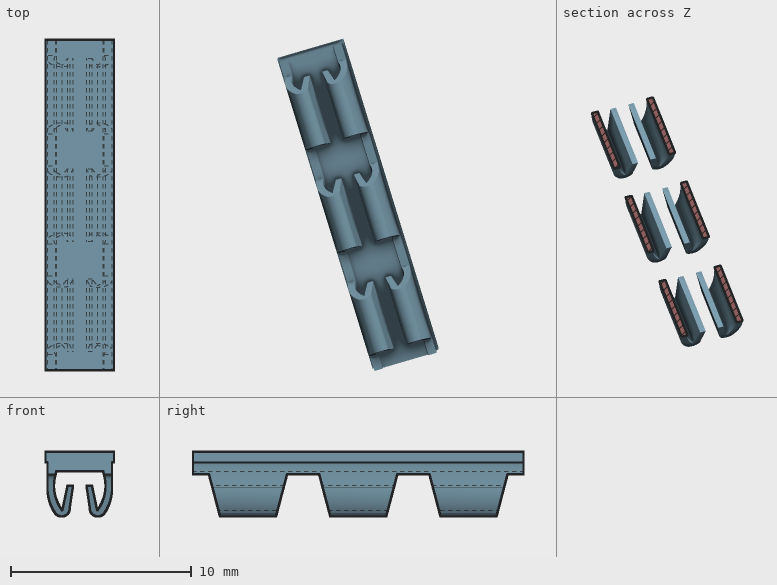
import cadquery as cq

length = 18.3
width = 3.8
height = 3.6
lip_depth = 0.6
body_width = 3.58
body_depth = 1.27

channel_depth = 1.1
channel_roof_width = 2.58
channel_mouth_width = 2.66

leg_outer_root = (body_width / 2, -body_depth)
leg_straight_end = (body_width / 2, -2.0)
leg_outer_mid = (1.69, -2.75)
leg_outer_end = (1.36, -3.42)
leg_bottom = (0.99, -height)
hook_outer_start = (0.55, -3.13)
hook_outer_tip = (0.36, -1.88)
hook_inner_tip = (0.68, -1.88)
leg_inner_bottom = (0.97, -3.25)
leg_inner_mid = (1.41, -2.1)
leg_inner_root = (channel_mouth_width / 2, -body_depth)

clip_count = 3
clip_pitch = length / clip_count
clip_root_length = 4.33
clip_end_length = 3.1


def strip():
    """Lip, body and underside channel as one section, extruded along Y."""
    half_width = width / 2
    half_body = body_width / 2
    half_mouth = channel_mouth_width / 2
    half_roof = channel_roof_width / 2
    return (
        cq.Workplane("XZ")
        .moveTo(-half_width, 0)
        .lineTo(half_width, 0)
        .lineTo(half_width, -lip_depth)
        .lineTo(half_body, -lip_depth)
        .lineTo(half_body, -body_depth)
        .lineTo(half_mouth, -body_depth)
        .lineTo(half_roof, -channel_depth)
        .lineTo(-half_roof, -channel_depth)
        .lineTo(-half_mouth, -body_depth)
        .lineTo(-half_body, -body_depth)
        .lineTo(-half_body, -lip_depth)
        .lineTo(-half_width, -lip_depth)
        .close()
        .extrude(length / 2, both=True)
    )


def leg():
    """Hooked leg on the +X side, running the full length of the strip."""
    return (
        cq.Workplane("XZ")
        .moveTo(*leg_inner_root)
        .lineTo(*leg_outer_root)
        .lineTo(*leg_straight_end)
        .threePointArc(leg_outer_mid, leg_outer_end)
        .threePointArc(leg_bottom, hook_outer_start)
        .lineTo(*hook_outer_tip)
        .lineTo(*hook_inner_tip)
        .lineTo(*leg_inner_bottom)
        .threePointArc(leg_inner_mid, leg_inner_root)
        .close()
        .extrude(length / 2, both=True)
    )


def clip_envelope(y_center):
    """Tapered block that bounds one clip along Y."""
    root_half = clip_root_length / 2
    end_half = clip_end_length / 2
    return (
        cq.Workplane("YZ")
        .moveTo(y_center - root_half, -body_depth)
        .lineTo(y_center + root_half, -body_depth)
        .lineTo(y_center + end_half, -height)
        .lineTo(y_center - end_half, -height)
        .close()
        .extrude(width / 2, both=True)
    )


leg_pair = leg().union(leg().mirror("YZ"))
result = strip()
for index in range(clip_count):
    clip_y = (index - (clip_count - 1) / 2) * clip_pitch
    result = result.union(leg_pair.intersect(clip_envelope(clip_y)))
result = result.clean()